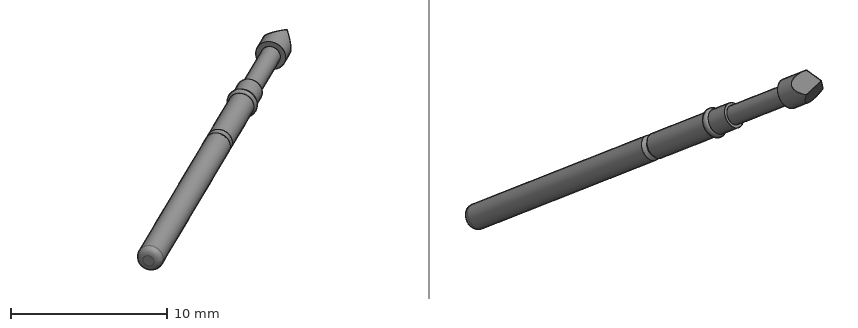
import cadquery as cq
import math

total_length = 32.0
head_diameter = 2.0
head_length = 3.0
plunger_diameter = 1.3
barrel_diameter = 1.7
barrel_start = 8.0
end_round_radius = 0.48

collar_start = 9.5
collar_width = 0.5
collar_diameter = 2.0

groove_start = 15.1
groove_width = 0.5
groove_depth = 0.22

facet_count = 3
facet_half_angle = 30.0

head_radius = head_diameter / 2
plunger_radius = plunger_diameter / 2
barrel_radius = barrel_diameter / 2
collar_radius = collar_diameter / 2
tip_y = total_length / 2


def cylinder(radius, start, end):
    """Solid cylinder on the Y axis between two stations."""
    base = cq.Plane(origin=(0, tip_y - start, 0), xDir=(1, 0, 0), normal=(0, -1, 0))
    return cq.Workplane(base).circle(radius).extrude(end - start)


def facet_cutter(angle):
    """Wedge outside one tip facet, turned about the Y axis; angle 0 faces +X."""
    facet_length = head_radius / math.tan(math.radians(facet_half_angle))
    outside = [(0, tip_y), (head_radius, tip_y - facet_length), (head_radius, tip_y)]
    wedge = cq.Workplane("XY").polyline(outside).close().extrude(head_radius, both=True)
    return wedge.rotate((0, 0, 0), (0, 1, 0), angle)


def make_head():
    """Cylindrical head ground to a three-sided pyramid."""
    head = cylinder(head_radius, 0, head_length)
    for index in range(facet_count):
        head = head.cut(facet_cutter(index * 360 / facet_count))
    return head


def make_collar():
    """Press ring with a bulging arc section that rises from the barrel."""
    front_y = tip_y - collar_start
    rear_y = front_y - collar_width
    crest_point = (collar_radius, (front_y + rear_y) / 2)
    section = (
        cq.Workplane("XY")
        .moveTo(0, front_y)
        .lineTo(barrel_radius, front_y)
        .threePointArc(crest_point, (barrel_radius, rear_y))
        .lineTo(0, rear_y)
        .close()
    )
    return section.revolve(360, (0, 0, 0), (0, 1, 0))


def make_groove():
    """Ring with a V section that is cut from the barrel."""
    front_y = tip_y - groove_start
    rear_y = front_y - groove_width
    floor_point = (barrel_radius - groove_depth, (front_y + rear_y) / 2)
    section = (
        cq.Workplane("XY")
        .moveTo(barrel_radius, front_y)
        .lineTo(*floor_point)
        .lineTo(barrel_radius, rear_y)
        .close()
    )
    return section.revolve(360, (0, 0, 0), (0, 1, 0))


def make_barrel():
    """Barrel with a rounded rear end and a crimp groove."""
    barrel = cylinder(barrel_radius, barrel_start, total_length)
    barrel = barrel.faces("<Y").edges().fillet(end_round_radius)
    return barrel.cut(make_groove())


plunger = cylinder(plunger_radius, head_length, barrel_start)
result = make_head().union(plunger).union(make_barrel()).union(make_collar())